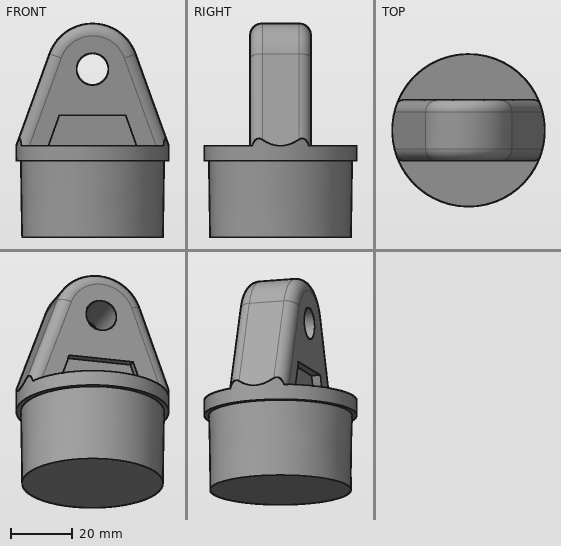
import cadquery as cq
import math

total_height = 70.0
plug_height = 25.0
flange_thickness = 5.0
flange_diameter = 50.0

plug_top_diameter = 47.0
plug_bottom_diameter = 46.2

lug_thickness = 20.0
lug_top_radius = 15.0
lug_edge_fillet = 4.0
hole_diameter = 10.3

recess_height = 10.0
recess_top_width = 21.7
recess_bottom_width = 28.85
recess_depth = 3.0

flange_radius = flange_diameter / 2
flange_top = plug_height + flange_thickness
hole_height = total_height - lug_top_radius


def make_base():
    plug = (
        cq.Workplane("XY")
        .circle(plug_bottom_diameter / 2)
        .workplane(offset=plug_height)
        .circle(plug_top_diameter / 2)
        .loft(ruled=True)
    )
    flange = (
        cq.Workplane("XY", origin=(0, 0, plug_height))
        .circle(flange_radius)
        .extrude(flange_thickness)
    )
    return plug.union(flange)


def lug_profile():
    """Sloping sides through the flange rim, tangent to the rounded top."""
    rise = hole_height - flange_top
    rim_distance = math.hypot(flange_radius, rise)
    tangent_angle = math.acos(lug_top_radius / rim_distance) - math.atan2(rise, flange_radius)
    tangent_x = lug_top_radius * math.cos(tangent_angle)
    tangent_z = hole_height + lug_top_radius * math.sin(tangent_angle)
    foot_z = plug_height
    foot_x = flange_radius + flange_thickness * math.tan(tangent_angle)
    return (
        cq.Workplane("XZ")
        .moveTo(-foot_x, foot_z)
        .lineTo(foot_x, foot_z)
        .lineTo(tangent_x, tangent_z)
        .threePointArc((0, total_height), (-tangent_x, tangent_z))
        .close()
    )


def make_lug():
    lug = lug_profile().extrude(lug_thickness / 2, both=True)
    lug = lug.faces("<Y or >Y").edges("not <Z").fillet(lug_edge_fillet)
    outline = cq.Workplane("XY").circle(flange_radius).extrude(total_height)
    return lug.intersect(outline)


def make_hole():
    return (
        cq.Workplane("XZ")
        .center(0, hole_height)
        .circle(hole_diameter / 2)
        .extrude(lug_thickness, both=True)
    )


def make_recess(side):
    """Recess cutter for the lug face on the given side: -1 is -Y, 1 is +Y."""
    recess_floor = side * (lug_thickness / 2 - recess_depth)
    return (
        cq.Workplane("XZ", origin=(0, recess_floor, flange_top))
        .moveTo(-recess_bottom_width / 2, 0)
        .lineTo(recess_bottom_width / 2, 0)
        .lineTo(recess_top_width / 2, recess_height)
        .lineTo(-recess_top_width / 2, recess_height)
        .close()
        .extrude(-side * recess_depth)
    )


result = make_base().union(make_lug()).cut(make_hole())
for face_side in (-1, 1):
    result = result.cut(make_recess(face_side))